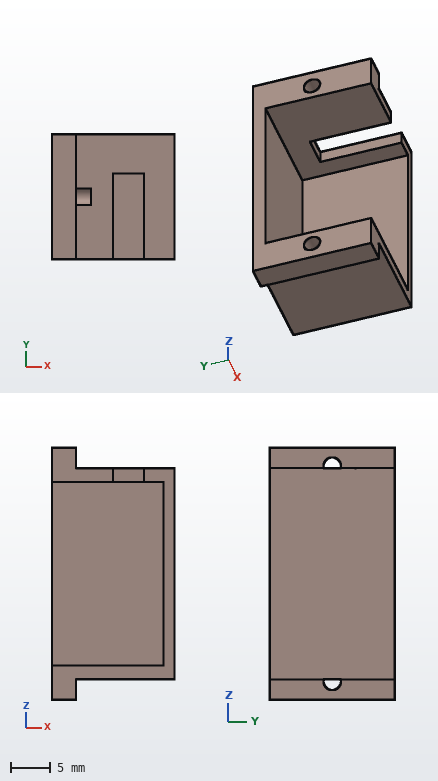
import cadquery as cq

length_x = 15.71
width_y = 16.0
height_z = 32.2

body_height = 27.0
end_wall = 1.75
back_wall = 1.7
side_wall = 1.41

flange_thickness = 3.1

screw_diameter = 2.2
screw_depth = 5.0
screw_edge_distance = 2.35

slot_start_x = 7.8
slot_width = 4.0
slot_length = 11.0

body_bottom = (height_z - body_height) / 2
body_top = body_bottom + body_height


def box_at(corner, size):
    """Box with its minimum corner at the given point."""
    return cq.Workplane("XY").box(*size, centered=False).translate(corner)


def make_shell():
    """Flange and body, hollowed by a cavity open on the -X and -Y sides."""
    body = box_at((0, 0, body_bottom), (length_x, width_y, body_height))
    flange = box_at((0, 0, 0), (flange_thickness, width_y, height_z))
    cavity = box_at(
        (0, 0, body_bottom + end_wall),
        (length_x - side_wall, width_y - back_wall, body_height - 2 * end_wall),
    )
    return body.union(flange).cut(cavity)


def make_screw_hole(center_z):
    """Blind cylinder entering from the flange face along +X."""
    return (
        cq.Workplane("YZ")
        .center(width_y / 2, center_z)
        .circle(screw_diameter / 2)
        .extrude(screw_depth)
    )


def make_top_slot():
    """Straight slot cutter as deep as the top wall."""
    return box_at((slot_start_x, 0, body_top - end_wall), (slot_width, slot_length, end_wall))


result = make_shell().cut(make_top_slot())
for hole_z in (screw_edge_distance, height_z - screw_edge_distance):
    result = result.cut(make_screw_hole(hole_z))